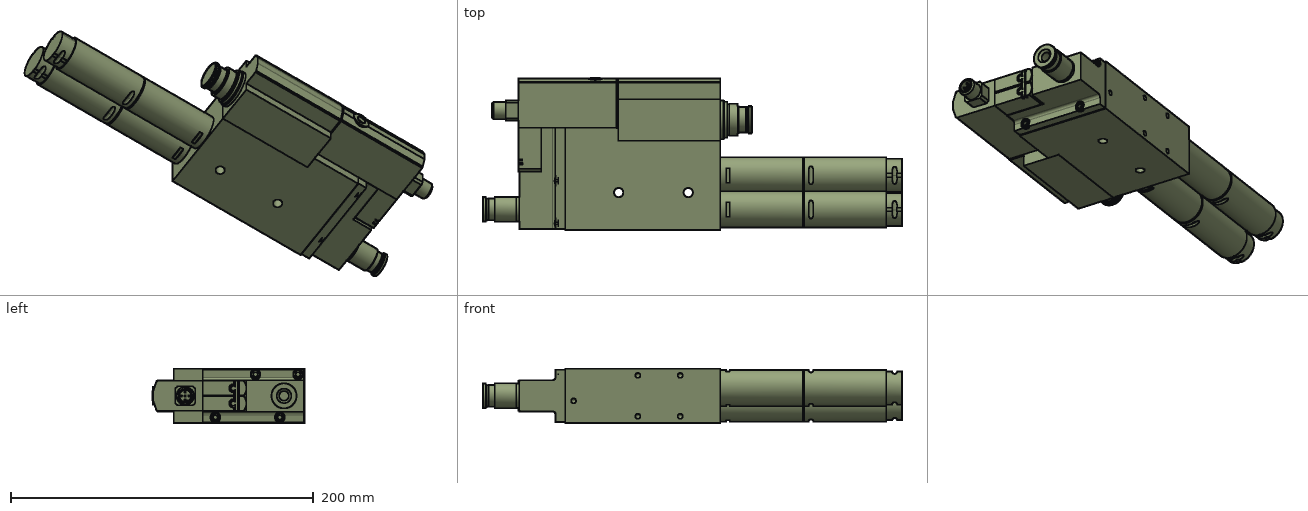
import cadquery as cq
import math


HEIGHT = 36.0
HALF_HEIGHT = HEIGHT / 2

BLOCK_LENGTH = 102.6
BLOCK_WIDTH = 67.5

HEAD_END_X = -133.4
PLATE_FACE_X = -109.0
HEAD_INSET = 0.6
HEAD_HALF_HEIGHT = 10.4
HEAD_FILLET = 2.0

INSERT_BACK_X = -118.4
INSERT_HALF_HEIGHT = 10.0
INSERT_TIP_Y = 38.6
INSERT_CORNER_Y = 40.5
SEAM_WIDTH = 0.8
SEAM_DEPTH = 0.6
CLAMP_SLOT_Y = (43.2, 46.8)
CLAMP_SLOT_DEPTH = 2.6
CLAMP_RIB_Y = (44.2, 45.9)
CLAMP_HOLE_DIAMETER = 5.5
CLAMP_STUD_DIAMETER = 3.24
CLAMP_HOLE_Y = 47.2
CLAMP_HOLE_Z = 5.0

COUNTERBORE_DIAMETER = 6.5
COUNTERBORE_DEPTH = 2.0
SCREW_HEAD_DIAMETER = 5.5
SOCKET_DIAMETER = 3.1
SOCKET_DEPTH = 3.0
SCREW_Z = 14.2
SCREW_POINTS = [(32.6, SCREW_Z), (4.5, SCREW_Z), (59.1, -SCREW_Z), (16.5, -SCREW_Z)]

MOUNT_HOLE_DIAMETER = 6.0
MOUNT_HOLE_X = (-67.2, -21.2)
MOUNT_HOLE_Y = 24.8
SIDE_HOLE_DIAMETER = 3.3
SIDE_HOLE_DEPTH = 8.0
DRILL_POINT_ANGLE = 118.0
SIDE_HOLE_X = (-54.5, -26.5)
SIDE_HOLE_Z = 13.5
FRONT_SIDE_HOLE = (-97.0, -3.3)

BACK_EDGE_Y = 98.1
BACK_RIDGE_Y = 100.2
BACK_RIDGE_WIDTH = 6.0
BACK_CHAMFER = 0.8
OVERALL_WIDTH = 100.78

MODULE_END_X = -68.5
MODULE_HALF_HEIGHT = 10.0
BUTTON_X = -82.6
BUTTON_BASE_DIAMETER = 12.0
BUTTON_BASE_Y = 100.45
BUTTON_CAP_DIAMETER = 6.0

COVER_LENGTH = 67.6
COVER_Y = (59.2, 86.6)

SENSOR_Y = 79.0
NUT_LENGTH = 8.4
NUT_WIDTH = 13.4
NUT_HEIGHT = 12.6
NUT_CHAMFER = 1.6
SENSOR_DIAMETER = 11.6
SENSOR_LENGTH = 9.2
SENSOR_CHAMFER = 1.2
SENSOR_BORE_DIAMETER = 8.0
SENSOR_BORE_DEPTH = 6.0
PIN_DIAMETER = 1.0
PIN_LENGTH = 4.5
PIN_PITCH_RADIUS = 2.6
KEY_WIDTH = 1.6
KEY_HEIGHT = 1.2

FITTING_Y = 13.7
FITTING_BORE_DIAMETER = 6.4
FITTING_BORE_CHAMFER = 1.6

TUBE_DIAMETER = 24.0
TUBE_LENGTH = 109.7
CAP_DIAMETER = 22.0
TUBE_END_X = 120.2
TUBE_CENTERS = [(13.6, 5.2), (36.2, -5.2)]
RING_X = 55.0
RING_WIDTH = 0.8
RING_DEPTH = 0.3
FLAT_X = 5.0
FLAT_WIDTH = 2.4
FLAT_DEPTH = 1.0
NOTCH_X = 59.9
CAP_NOTCH_X = 115.2
NOTCH_DIAMETER = 3.24
CAP_SLIT_WIDTH = 2.4
CAP_SLIT_DEPTH = 0.5


def box(x_range, y_range, z_range):
    """Axis-aligned box between the given limits."""
    (x0, x1), (y0, y1), (z0, z1) = x_range, y_range, z_range
    return cq.Workplane("XY").box(x1 - x0, y1 - y0, z1 - z0, centered=False).translate((x0, y0, z0))


def rod(x0, x1, y, z, diameter):
    """Cylinder along X from x0 to x1."""
    return cq.Workplane("YZ", origin=(x0, y, z)).circle(diameter / 2).extrude(x1 - x0)


def stepped_rod(start_x, direction, y, steps):
    """Coaxial cylinders along X on the mid-plane, given as (length, diameter) from start_x outwards."""
    body = None
    x = start_x
    for length, diameter in steps:
        end_x = x + direction * length
        step = rod(min(x, end_x), max(x, end_x), y, 0, diameter)
        body = step if body is None else body.union(step)
        x = end_x
    return body


def ridged_bar(x0, x1, start_y, half_height):
    """Bar along X whose +Y side is chamfered and slopes up to a flat ridge."""
    slope_half = half_height - BACK_CHAMFER
    ridge_half = BACK_RIDGE_WIDTH / 2
    return (
        cq.Workplane("YZ", origin=(x0, 0, 0))
        .moveTo(start_y, -half_height)
        .lineTo(BACK_EDGE_Y - BACK_CHAMFER, -half_height)
        .lineTo(BACK_EDGE_Y, -slope_half)
        .lineTo(BACK_RIDGE_Y, -ridge_half)
        .lineTo(BACK_RIDGE_Y, ridge_half)
        .lineTo(BACK_EDGE_Y, slope_half)
        .lineTo(BACK_EDGE_Y - BACK_CHAMFER, half_height)
        .lineTo(start_y, half_height)
        .close()
        .extrude(x1 - x0)
    )


def side_hole(x, z):
    """Blind drilled hole with a conical end in the Y = 0 face."""
    radius = SIDE_HOLE_DIAMETER / 2
    tip = radius / math.tan(math.radians(DRILL_POINT_ANGLE / 2))
    return (
        cq.Workplane("XY")
        .polyline([(0, 0), (radius, 0), (radius, SIDE_HOLE_DEPTH), (0, SIDE_HOLE_DEPTH + tip)])
        .close()
        .revolve(360, (0, 0, 0), (0, 1, 0))
        .translate((x, 0, z))
    )


def make_block():
    full_height = (-HALF_HEIGHT, HALF_HEIGHT)
    block = box((-BLOCK_LENGTH, 0), (0, BLOCK_WIDTH), full_height)
    block = block.cut(box((-COVER_LENGTH, 0), (COVER_Y[0], BLOCK_WIDTH), full_height))
    for x in MOUNT_HOLE_X:
        hole = cq.Workplane("XY", origin=(x, MOUNT_HOLE_Y, -HALF_HEIGHT))
        block = block.cut(hole.circle(MOUNT_HOLE_DIAMETER / 2).extrude(HEIGHT))
    side_points = [(x, z) for x in SIDE_HOLE_X for z in (-SIDE_HOLE_Z, SIDE_HOLE_Z)]
    for x, z in side_points + [FRONT_SIDE_HOLE]:
        block = block.cut(side_hole(x, z))
    return block


def head_profile():
    """Stepped outline in XZ, filleted where the nose meets the plate."""
    plate_half = HALF_HEIGHT - HEAD_INSET
    nose_x = HEAD_END_X + HEAD_INSET
    tangent_x = PLATE_FACE_X - HEAD_FILLET
    tangent_z = HEAD_HALF_HEIGHT + HEAD_FILLET
    arc_offset = HEAD_FILLET * math.sin(math.radians(45))
    arc_x = tangent_x + arc_offset
    arc_z = tangent_z - arc_offset
    return (
        cq.Workplane("XZ", origin=(0, HEAD_INSET, 0))
        .moveTo(nose_x, -HEAD_HALF_HEIGHT)
        .lineTo(tangent_x, -HEAD_HALF_HEIGHT)
        .threePointArc((arc_x, -arc_z), (PLATE_FACE_X, -tangent_z))
        .lineTo(PLATE_FACE_X, -plate_half)
        .lineTo(-BLOCK_LENGTH, -plate_half)
        .lineTo(-BLOCK_LENGTH, plate_half)
        .lineTo(PLATE_FACE_X, plate_half)
        .lineTo(PLATE_FACE_X, tangent_z)
        .threePointArc((arc_x, arc_z), (tangent_x, HEAD_HALF_HEIGHT))
        .lineTo(nose_x, HEAD_HALF_HEIGHT)
        .close()
    )


def clamp_insert():
    """Jaw insert in the nose: two halves with rounded ends, a slot with a rib and two studs in pockets."""
    insert = (
        cq.Workplane("YZ", origin=(HEAD_END_X, 0, 0))
        .moveTo(BLOCK_WIDTH, -INSERT_HALF_HEIGHT)
        .lineTo(INSERT_CORNER_Y, -INSERT_HALF_HEIGHT)
        .threePointArc((INSERT_TIP_Y, -INSERT_HALF_HEIGHT / 2), (INSERT_CORNER_Y, 0))
        .threePointArc((INSERT_TIP_Y, INSERT_HALF_HEIGHT / 2), (INSERT_CORNER_Y, INSERT_HALF_HEIGHT))
        .lineTo(BLOCK_WIDTH, INSERT_HALF_HEIGHT)
        .close()
        .extrude(INSERT_BACK_X - HEAD_END_X)
    )
    seam = box(
        (HEAD_END_X, HEAD_END_X + SEAM_DEPTH),
        (INSERT_TIP_Y, BLOCK_WIDTH),
        (-SEAM_WIDTH / 2, SEAM_WIDTH / 2),
    )
    slot_end_x = HEAD_END_X + CLAMP_SLOT_DEPTH
    slot = box((HEAD_END_X, slot_end_x), CLAMP_SLOT_Y, (-INSERT_HALF_HEIGHT, INSERT_HALF_HEIGHT))
    insert = insert.cut(seam).cut(slot)
    for z in (-CLAMP_HOLE_Z, CLAMP_HOLE_Z):
        insert = insert.cut(rod(HEAD_END_X, slot_end_x, CLAMP_HOLE_Y, z, CLAMP_HOLE_DIAMETER))
    rib = box((HEAD_END_X, slot_end_x), CLAMP_RIB_Y, (-INSERT_HALF_HEIGHT, INSERT_HALF_HEIGHT))
    insert = insert.union(rib)
    for z in (-CLAMP_HOLE_Z, CLAMP_HOLE_Z):
        insert = insert.union(rod(HEAD_END_X, slot_end_x, CLAMP_HOLE_Y, z, CLAMP_STUD_DIAMETER))
    return insert


def make_head():
    head = head_profile().extrude(-(BLOCK_WIDTH - HEAD_INSET))
    insert_bay = box(
        (HEAD_END_X, INSERT_BACK_X),
        (INSERT_TIP_Y, BLOCK_WIDTH),
        (-HEAD_HALF_HEIGHT, HEAD_HALF_HEIGHT),
    )
    head = head.cut(insert_bay).union(clamp_insert())
    for y, z in SCREW_POINTS:
        floor_x = PLATE_FACE_X + COUNTERBORE_DEPTH
        head = head.cut(rod(PLATE_FACE_X - HEAD_FILLET, floor_x, y, z, COUNTERBORE_DIAMETER))
        head = head.union(rod(PLATE_FACE_X, floor_x, y, z, SCREW_HEAD_DIAMETER))
        head = head.cut(rod(PLATE_FACE_X, PLATE_FACE_X + SOCKET_DEPTH, y, z, SOCKET_DIAMETER))
    return head


def sensor_plug():
    nut = (
        cq.Workplane("YZ", origin=(HEAD_END_X - NUT_LENGTH, SENSOR_Y, 0))
        .rect(NUT_WIDTH, NUT_HEIGHT)
        .extrude(NUT_LENGTH)
        .edges("|X")
        .chamfer(NUT_CHAMFER)
    )
    barrel_x = HEAD_END_X - NUT_LENGTH
    tip_x = barrel_x - SENSOR_LENGTH
    bore_x = tip_x + SENSOR_BORE_DEPTH
    barrel = rod(tip_x, barrel_x, SENSOR_Y, 0, SENSOR_DIAMETER).faces("<X").chamfer(SENSOR_CHAMFER)
    barrel = barrel.cut(rod(tip_x, bore_x, SENSOR_Y, 0, SENSOR_BORE_DIAMETER))
    pitch = PIN_PITCH_RADIUS
    for dy, dz in [(0, 0), (pitch, 0), (-pitch, 0), (0, pitch), (0, -pitch)]:
        barrel = barrel.union(rod(bore_x - PIN_LENGTH, bore_x, SENSOR_Y + dy, dz, PIN_DIAMETER))
    bore_floor_z = -SENSOR_BORE_DIAMETER / 2
    key = box(
        (bore_x - PIN_LENGTH, bore_x),
        (SENSOR_Y - KEY_WIDTH, SENSOR_Y),
        (bore_floor_z - KEY_HEIGHT / 2, bore_floor_z + KEY_HEIGHT),
    )
    return nut.union(barrel).union(key)


def button_disc(diameter, top_y):
    disc = cq.Workplane("XZ", origin=(BUTTON_X, BACK_EDGE_Y, 0))
    return disc.circle(diameter / 2).extrude(-(top_y - BACK_EDGE_Y))


def make_module():
    module = ridged_bar(HEAD_END_X, MODULE_END_X, BLOCK_WIDTH, MODULE_HALF_HEIGHT)
    module = module.union(button_disc(BUTTON_BASE_DIAMETER, BUTTON_BASE_Y))
    module = module.union(button_disc(BUTTON_CAP_DIAMETER, OVERALL_WIDTH))
    return module.union(sensor_plug())


def make_cover():
    cover = box((-COVER_LENGTH, 0), COVER_Y, (-HALF_HEIGHT, HALF_HEIGHT))
    cover = cover.union(ridged_bar(-COVER_LENGTH, 0, COVER_Y[1], HEAD_HALF_HEIGHT))
    connector_steps = [
        (1.8, 25.8),
        (0.8, 25.2),
        (2.0, 24.0),
        (1.2, 20.8),
        (5.6, 21.2),
        (0.8, 18.0),
        (4.6, 17.0),
        (0.5, 16.4),
        (0.5, 17.0),
        (0.5, 16.4),
        (0.5, 17.0),
        (1.6, 18.8),
        (0.7, 17.0),
    ]
    connector_y = sum(COVER_Y) / 2
    return cover.union(stepped_rod(0, 1, connector_y, connector_steps))


def make_fitting():
    collar_steps = [
        (2.0, 16.4),
        (14.4, 16.66),
        (4.0, 14.6),
        (1.2, 14.3),
        (0.8, 14.95),
        (1.8, 16.66),
    ]
    start_x = HEAD_END_X + HEAD_INSET
    fitting = stepped_rod(start_x, -1, FITTING_Y, collar_steps)
    length = sum(step[0] for step in collar_steps)
    bore = rod(start_x - length, start_x, FITTING_Y, 0, FITTING_BORE_DIAMETER)
    fitting = fitting.cut(bore)
    mouth = fitting.faces("<X").edges(cq.selectors.RadiusNthSelector(0))
    return mouth.chamfer(FITTING_BORE_CHAMFER)


def cross_notch(x, y, z):
    """Round-bottomed notch across Y."""
    notch = cq.Workplane("XZ", origin=(x, y, z)).circle(NOTCH_DIAMETER / 2)
    return notch.extrude(TUBE_DIAMETER / 2, both=True)


def make_tube(y, z):
    radius = TUBE_DIAMETER / 2
    cap_radius = CAP_DIAMETER / 2
    tube = rod(0, TUBE_LENGTH, y, z, TUBE_DIAMETER)
    tube = tube.union(rod(TUBE_LENGTH, TUBE_END_X, y, z, CAP_DIAMETER))

    ring_start = RING_X - RING_WIDTH / 2
    ring = cq.Workplane("YZ", origin=(ring_start, y, z)).circle(radius).circle(radius - RING_DEPTH)
    tube = tube.cut(ring.extrude(RING_WIDTH))

    for side in (-1, 1):
        flat = cq.Workplane("XY").box(FLAT_WIDTH, TUBE_DIAMETER, 2 * FLAT_DEPTH)
        tube = tube.cut(flat.translate((FLAT_X, y, z + side * radius)))
        tube = tube.cut(cross_notch(NOTCH_X, y, z + side * radius))
        tube = tube.cut(cross_notch(CAP_NOTCH_X, y, z + side * cap_radius))
        slit = cq.Workplane("XY").box(TUBE_END_X - TUBE_LENGTH, CAP_SLIT_WIDTH, 2 * CAP_SLIT_DEPTH)
        tube = tube.cut(slit.translate(((TUBE_END_X + TUBE_LENGTH) / 2, y, z + side * cap_radius)))
    return tube


block = make_block()
head = make_head()
module = make_module()
cover = make_cover()
fitting = make_fitting()
tubes = [make_tube(y, z).val() for y, z in TUBE_CENTERS]

result = cq.Compound.makeCompound(
    [block.val(), head.val(), module.val(), cover.val(), fitting.val(), *tubes]
)